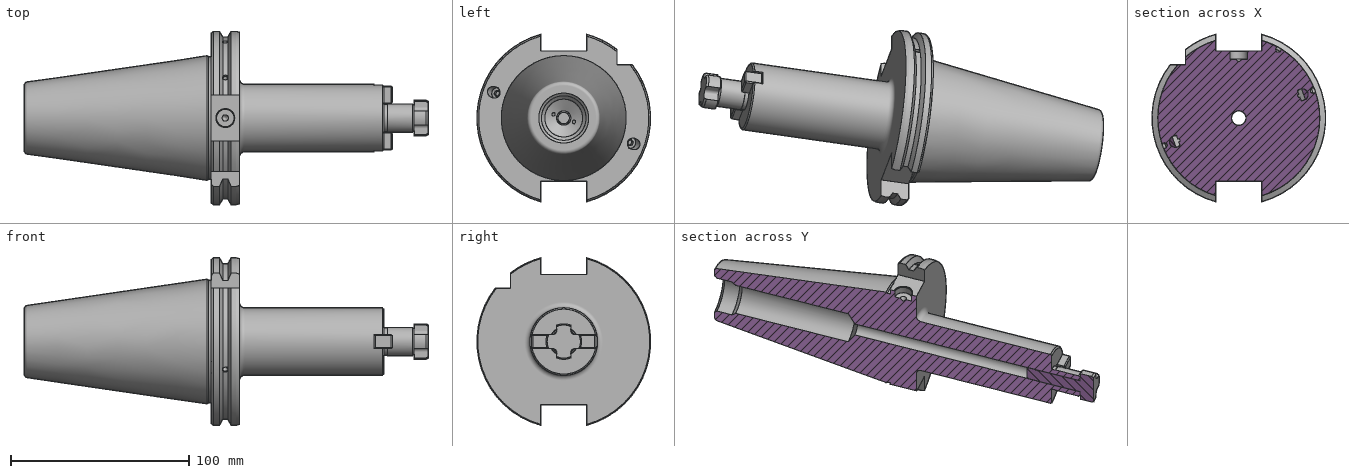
import cadquery as cq
import math

taper_length = 101.75
gauge_radius = 69.85 / 2
taper_slope = 7 / 48
taper_small_radius = gauge_radius - taper_slope * taper_length
taper_rear_fillet = 2.2
taper_end = 0.9
neck_start = 1.7
taper_end_radius = gauge_radius + taper_slope * taper_end
neck_radius = gauge_radius - 0.5

flange_front = 3.2
flange_back = 19.1
flange_radius = 97.5 / 2
front_bevel_length = 1.2
back_bevel_length = 1.9
front_bevel_depth = 1.0
back_bevel_depth = 0.5
vee_center = 11.1
vee_root_radius = 45.5
vee_root_width = 2.8
vee_half_angle = math.radians(30)
vee_half_root = vee_root_width / 2
vee_half_mouth = vee_half_root + (flange_radius - vee_root_radius) * math.tan(vee_half_angle)
vee_hole_diameter = 3.0
vee_hole_depth = 1.6
drive_slot_width = 25.7
upper_slot_floor = 37.7
lower_slot_floor = 35.5
corner_notch_y = 30.0
corner_notch_z = 30.0
chip_hole_diameter = 9.8
chip_hole_depth = 4.6
chip_center_diameter = 3.6
chip_hole_chamfer = 0.4

shank_radius = 19.0
shank_fillet = 2.9
shank_end = 100.0
shank_chamfer = 0.8
spigot_radius = 8.0
spigot_end = 117.0
spigot_chamfer = 1.0
undercut_width = 2.2
undercut_depth = 0.2

bore_mouth_radius = 14.0
bore_mouth_chamfer = 1.5
counterbore_radius = bore_mouth_radius - bore_mouth_chamfer
counterbore_depth = 10.5
bore_step_length = 2.2
thread_bore_radius = 10.6
thread_bore_depth = 80.0
drill_point_half_angle = math.radians(59)

screw_radius = 4.0
screw_rear = 85.0
screw_rear_chamfer = 0.8
head_radius = 10.0
head_thickness = 8.0
head_end = spigot_end + head_thickness
head_chamfer_length = 1.25
head_chamfer_depth = 0.7
head_lobe_width = 8.0
head_corner_fillet = 2.0

key_width = 8.0
key_rear = 94.6
key_end = 104.8
key_inner = 8.3
key_outer = 18.0
key_chamfer = 0.7

coolant_radius = 41.8
coolant_angle = 20.3
pocket_tilt = 27.0
pocket_diameter = 6.4
pocket_length = 10.0
grub_recess = 4.0
grub_length = 5.0
grub_socket_size = 3.0
grub_socket_depth = 2.0
channel_diameter = 2.0
channel_mouth_radius = 6.1
vee_hole_angles = [60.0, coolant_angle, coolant_angle + 180]

thread_bore_end = -taper_length + thread_bore_depth
drill_point_end = thread_bore_end + (thread_bore_radius - screw_radius) / math.tan(drill_point_half_angle)


def revolve_about_x(profile):
    """Full turn of an (x, radius) profile about the X axis."""
    return profile.close().revolve(360, (0, 0, 0), (1, 0, 0))


def make_body_of_revolution():
    profile = (
        cq.Workplane("XZ")
        .moveTo(-taper_length, 0)
        .lineTo(-taper_length, taper_small_radius)
        .lineTo(taper_end, taper_end_radius)
        .lineTo(neck_start, neck_radius)
        .lineTo(flange_front, neck_radius)
        .lineTo(flange_front, flange_radius - front_bevel_depth)
        .lineTo(flange_front + front_bevel_length, flange_radius)
        .lineTo(vee_center - vee_half_mouth, flange_radius)
        .lineTo(vee_center - vee_half_root, vee_root_radius)
        .lineTo(vee_center + vee_half_root, vee_root_radius)
        .lineTo(vee_center + vee_half_mouth, flange_radius)
        .lineTo(flange_back - back_bevel_length, flange_radius)
        .lineTo(flange_back, flange_radius - back_bevel_depth)
        .lineTo(flange_back, shank_radius + shank_fillet)
        .radiusArc((flange_back + shank_fillet, shank_radius), -shank_fillet)
        .lineTo(shank_end - shank_chamfer, shank_radius)
        .lineTo(shank_end, shank_radius - shank_chamfer)
        .lineTo(shank_end, spigot_radius - undercut_depth)
        .lineTo(shank_end + undercut_width, spigot_radius - undercut_depth)
        .lineTo(shank_end + undercut_width, spigot_radius)
        .lineTo(spigot_end - spigot_chamfer, spigot_radius)
        .lineTo(spigot_end, spigot_radius - spigot_chamfer)
        .lineTo(spigot_end, 0)
    )
    return revolve_about_x(profile).faces("<X").edges().fillet(taper_rear_fillet)


def make_bore():
    """Stepped draw-bar bore with a drill point that runs out into the clamping screw hole."""
    mouth = -taper_length
    step = mouth + counterbore_depth
    profile = (
        cq.Workplane("XZ")
        .moveTo(mouth, 0)
        .lineTo(mouth, bore_mouth_radius)
        .lineTo(mouth + bore_mouth_chamfer, counterbore_radius)
        .lineTo(step, counterbore_radius)
        .lineTo(step + bore_step_length, thread_bore_radius)
        .lineTo(thread_bore_end, thread_bore_radius)
        .lineTo(drill_point_end, screw_radius)
        .lineTo(spigot_end, screw_radius)
        .lineTo(spigot_end, 0)
    )
    return revolve_about_x(profile)


def box_between(x_range, y_range, z_range):
    lengths = [high - low for low, high in (x_range, y_range, z_range)]
    corner = (x_range[0], y_range[0], z_range[0])
    return cq.Workplane("XY").box(*lengths, centered=False).translate(corner)


def make_flange_cuts():
    flange_x = (flange_front, flange_back)
    slot_y = (-drive_slot_width / 2, drive_slot_width / 2)
    upper_slot = box_between(flange_x, slot_y, (upper_slot_floor, flange_radius))
    lower_slot = box_between(flange_x, slot_y, (-flange_radius, -lower_slot_floor))
    corner_notch = box_between(flange_x, (-flange_radius, -corner_notch_y), (corner_notch_z, flange_radius))
    return upper_slot.union(lower_slot).union(corner_notch)


def make_chip_hole():
    """Data chip hole in the floor of the upper drive slot, with a conical center mark in its own floor."""
    floor = cq.Workplane("XY", origin=(vee_center, 0, upper_slot_floor))
    hole = floor.circle(chip_hole_diameter / 2).extrude(-chip_hole_depth)
    rim = cq.Solid.makeCone(
        chip_hole_diameter / 2,
        chip_hole_diameter / 2 + chip_hole_chamfer,
        chip_hole_chamfer,
        cq.Vector(vee_center, 0, upper_slot_floor - chip_hole_chamfer),
    )
    center_depth = chip_center_diameter / 2
    center_cone = cq.Solid.makeCone(
        0,
        center_depth,
        center_depth,
        cq.Vector(vee_center, 0, upper_slot_floor - chip_hole_depth - center_depth),
    )
    return hole.union(cq.Workplane(rim)).union(cq.Workplane(center_cone))


def make_vee_hole(angle):
    """Small blind radial hole, ending in a 90 degree drill point, in the root of the vee groove."""
    radius = vee_hole_diameter / 2
    floor_radius = vee_root_radius - vee_hole_depth
    inward = cq.Vector(0, -1, 0)
    hole = cq.Solid.makeCylinder(radius, vee_hole_depth, cq.Vector(vee_center, vee_root_radius, 0), inward)
    point = cq.Solid.makeCone(radius, 0, radius, cq.Vector(vee_center, floor_radius, 0), inward)
    return cq.Workplane(hole).union(cq.Workplane(point)).rotate((0, 0, 0), (1, 0, 0), angle)


def place_coolant(body, side):
    """Move a body built along X from the origin to the mouth of a coolant pocket."""
    tilted = body.rotate((0, 0, 0), (0, 0, 1), -pocket_tilt)
    on_flange = tilted.translate((flange_front, coolant_radius, 0))
    return on_flange.rotate((0, 0, 0), (1, 0, 0), coolant_angle + side * 180)


def make_coolant_pocket(side):
    """Tilted pocket, open at the flange face, that holds a grub screw."""
    lead_in = pocket_diameter
    pocket = cq.Workplane("YZ", origin=(-lead_in, 0, 0)).circle(pocket_diameter / 2)
    return place_coolant(pocket.extrude(lead_in + pocket_length), side)


def make_coolant_channel(side):
    """Thin channel from the inner end of a pocket to the drill point of the bore."""
    tilt = math.radians(pocket_tilt)
    start_x = flange_front + pocket_length * math.cos(tilt)
    start_radius = coolant_radius - pocket_length * math.sin(tilt)
    mouth_x = drill_point_end - (channel_mouth_radius - screw_radius) / math.tan(drill_point_half_angle)
    start = cq.Vector(start_x, start_radius, 0)
    run = cq.Vector(mouth_x, channel_mouth_radius, 0) - start
    channel = cq.Solid.makeCylinder(channel_diameter / 2, run.Length + channel_diameter, start, run)
    return cq.Workplane(channel).rotate((0, 0, 0), (1, 0, 0), coolant_angle + side * 180)


def make_grub_screw(side):
    face = cq.Workplane("YZ", origin=(grub_recess, 0, 0))
    grub = face.circle(pocket_diameter / 2).extrude(grub_length)
    socket = face.polygon(6, grub_socket_size, circumscribed=True).extrude(grub_socket_depth)
    return place_coolant(grub.cut(socket), side)


def make_key_slot():
    """Slot across the shank end; the spigot stays whole in front of it."""
    half_width = key_width / 2
    slot_z = (-half_width, half_width)
    slot = box_between((key_rear, shank_end), (key_inner, shank_radius), slot_z)
    return slot.union(slot.mirror("XZ"))


def make_key(side):
    half_width = key_width / 2
    key = box_between((key_rear, key_end), (key_inner, key_outer), (-half_width, half_width))
    key = key.faces(">X or >Y").edges().chamfer(key_chamfer)
    return key.rotate((0, 0, 0), (1, 0, 0), side * 180)


def make_holder():
    holder = make_body_of_revolution().cut(make_bore()).cut(make_flange_cuts())
    holder = holder.cut(make_chip_hole()).cut(make_key_slot())
    for angle in vee_hole_angles:
        holder = holder.cut(make_vee_hole(angle))
    for side in range(2):
        holder = holder.cut(make_coolant_pocket(side)).cut(make_coolant_channel(side))
    return holder


def make_clamping_screw():
    """Screw with a cross-shaped head: a disc with four filleted corner cuts."""
    shank = cq.Workplane("YZ", origin=(screw_rear, 0, 0)).circle(screw_radius)
    shank = shank.extrude(spigot_end - screw_rear).faces("<X").chamfer(screw_rear_chamfer)
    profile = (
        cq.Workplane("XZ")
        .moveTo(spigot_end, 0)
        .lineTo(spigot_end, head_radius)
        .lineTo(head_end - head_chamfer_length, head_radius)
        .lineTo(head_end, head_radius - head_chamfer_depth)
        .lineTo(head_end, 0)
    )
    head = revolve_about_x(profile)
    half_lobe = head_lobe_width / 2
    head_x = (spigot_end, head_end)
    corner = box_between(head_x, (half_lobe, head_radius), (half_lobe, head_radius))
    corner = corner.edges("|X and <Y and <Z").fillet(head_corner_fillet)
    for quarter in range(4):
        head = head.cut(corner.rotate((0, 0, 0), (1, 0, 0), quarter * 90))
    return shank.union(head)


holder = make_holder()
clamping_screw = make_clamping_screw()
drive_keys = [make_key(side) for side in range(2)]
grub_screws = [make_grub_screw(side) for side in range(2)]

result = cq.Compound.makeCompound(
    [holder.val(), clamping_screw.val()]
    + [key.val() for key in drive_keys]
    + [grub.val() for grub in grub_screws]
)